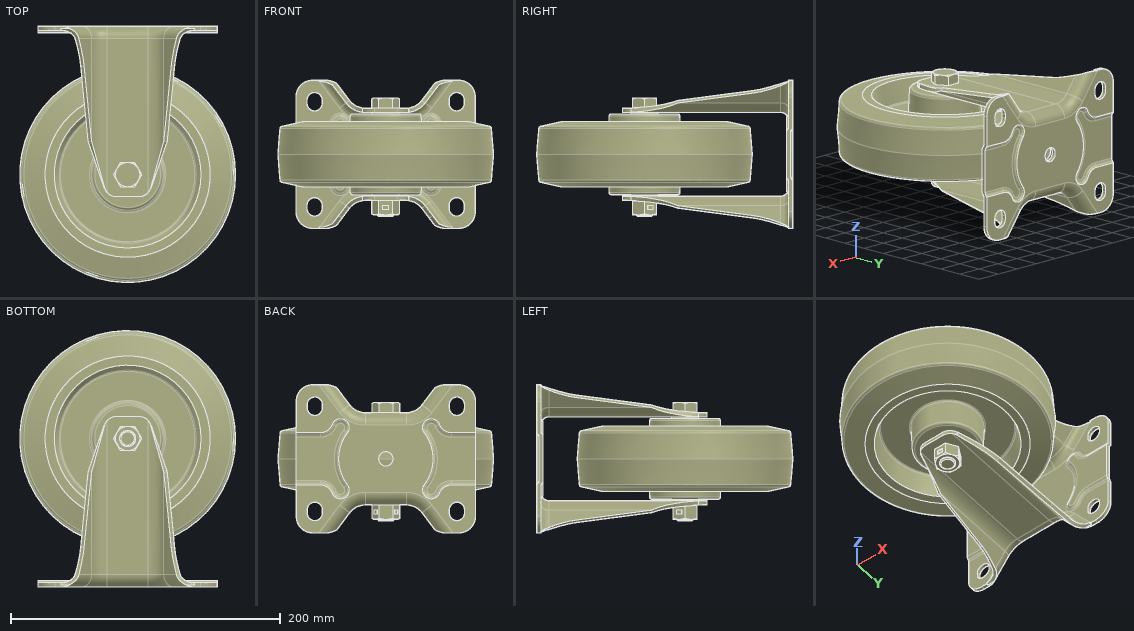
import cadquery as cq
import math


OVERALL_LENGTH = 190.0

WHEEL_RADIUS = 80.0
TREAD_EDGE_RADIUS = 78.3
SHOULDER_HEIGHT = 20.5
SHOULDER_FILLET = 1.9
RIM_RADIUS = 61.2
RIM_HALF_WIDTH = 24.3
RIM_MOUTH_RADIUS = 54.3
RIM_ROOT_RADIUS = 50.5
WEB_HALF_WIDTH = 6.6
HUB_ROOT_RADIUS = 27.4
HUB_END_RADIUS = 26.2
HUB_HALF_LENGTH = 30.0
HUB_FILLET = 1.9
WEB_FILLET = 1.0
SLEEVE_RADIUS = 10.0

BOLT_DIAMETER = 12.0
BOLT_END_CHAMFER = 1.0
HEX_FLATS = 18.0
HEX_BEVEL_ANGLE = 30.0
HEAD_HEIGHT = 7.6
NUT_HEIGHT = 10.6
BOLT_PROTRUSION = 1.3
CRIMP_WIDTH = 4.5
CRIMP_HEIGHT = 3.0
CRIMP_DEPTH = 0.4
CRIMP_OFFSET = 5.3

SHEET = 3.2
PLATE_WIDTH = 133.0
PLATE_HEIGHT = 110.0
PLATE_CORNER = 12.5
LEG_FACE = 34.2
LEG_FLAT = 15.2
FLANGE_BEND = 14.5
FLANGE_ANGLE = 53.0
PLATE_BEND = 9.3
TIP_DROP = 16.3
TIP_CORNER = 9.0
PLATE_BACK = OVERALL_LENGTH - WHEEL_RADIUS
PLATE_FRONT = PLATE_BACK - SHEET
LEG_INNER_FACE = LEG_FACE - SHEET

TAPER_END_Y = 24.7
FLARE_START_Y = 80.5
FLARE_START_Z = 47.3
FLARE_END_Y = PLATE_BACK - SHEET / 2
FLARE_SWEEP = 1.3
FLARE_TURN = 4

TRIM_ABOVE = 22.8
TRIM_BELOW = 11.4
TRIM_OUTWARDS = 57.0

SLOT_WIDTH = 11.0
SLOT_LENGTH = 13.5
SLOT_X = 52.6
SLOT_Z = 39.0
CENTER_HOLE = 10.6
EMBOSS_HEIGHT = 1.7
EMBOSS_OVERRUN = 8.5
EMBOSS_DRAFT = 50.0
EMBOSS_TOP_FILLET = 3.5
EMBOSS_FOOT_FILLET = 2.3
EMBOSS_BAND = 19.4
NECK_RADIUS = 9.5
EMBOSS_WAIST_X = 35.0
LOBE_X = 33.6
LOBE_Z = 23.2
LOBE_RADIUS = 6.5

FAR = 114.0
NEAR = 0.2


def polar(center, radius, degrees):
    angle = math.radians(degrees)
    return (center[0] + radius * math.cos(angle), center[1] + radius * math.sin(angle))


def circles_of_radius(body, radius):
    return body.edges("%CIRCLE").filter(lambda edge: abs(edge.radius() - radius) < NEAR)


def revolve_about_axle(points):
    """Revolve an outline of (radius, z) points about the axle."""
    return cq.Workplane("XZ").polyline(points).close().revolve(360, (0, 0, 0), (0, 1, 0))


def make_tyre():
    tyre = revolve_about_axle([
        (RIM_RADIUS, -RIM_HALF_WIDTH),
        (TREAD_EDGE_RADIUS, -SHOULDER_HEIGHT),
        (WHEEL_RADIUS, 0),
        (TREAD_EDGE_RADIUS, SHOULDER_HEIGHT),
        (RIM_RADIUS, RIM_HALF_WIDTH),
    ])
    return circles_of_radius(tyre, TREAD_EDGE_RADIUS).fillet(SHOULDER_FILLET)


def make_core():
    upper = [
        (RIM_RADIUS, RIM_HALF_WIDTH),
        (RIM_MOUTH_RADIUS, RIM_HALF_WIDTH),
        (RIM_ROOT_RADIUS, WEB_HALF_WIDTH),
        (HUB_ROOT_RADIUS, WEB_HALF_WIDTH),
        (HUB_END_RADIUS, HUB_HALF_LENGTH),
        (SLEEVE_RADIUS, HUB_HALF_LENGTH),
    ]
    lower = [(radius, -z) for radius, z in reversed(upper)]
    core = revolve_about_axle(upper + lower)
    core = circles_of_radius(core, HUB_END_RADIUS).fillet(HUB_FILLET)
    core = circles_of_radius(core, RIM_ROOT_RADIUS).fillet(WEB_FILLET)
    return circles_of_radius(core, HUB_ROOT_RADIUS).fillet(WEB_FILLET)


def make_sleeve():
    return (
        cq.Workplane("XY", origin=(0, 0, -LEG_INNER_FACE))
        .circle(SLEEVE_RADIUS)
        .circle(BOLT_DIAMETER / 2)
        .extrude(2 * LEG_INNER_FACE)
    )


def hexagon(height):
    """Hexagon standing on the XY plane, corners along X, with its upper corners turned to a cone."""
    corner_radius = HEX_FLATS / math.sqrt(3)
    bevel = corner_radius - HEX_FLATS / 2
    body = cq.Workplane("XY").polygon(6, 2 * corner_radius).extrude(height)
    turned = (
        cq.Workplane("XY")
        .circle(corner_radius)
        .extrude(height)
        .faces(">Z")
        .chamfer(bevel * math.tan(math.radians(HEX_BEVEL_ANGLE)), bevel)
    )
    return body.intersect(turned)


def make_bolt():
    end = -(LEG_FACE + NUT_HEIGHT + BOLT_PROTRUSION)
    shank = (
        cq.Workplane("XY", origin=(0, 0, end))
        .circle(BOLT_DIAMETER / 2)
        .extrude(LEG_FACE - end)
        .faces("<Z")
        .chamfer(BOLT_END_CHAMFER)
    )
    head = hexagon(HEAD_HEIGHT).translate((0, 0, LEG_FACE))
    return shank.union(head)


def make_nut():
    nut = hexagon(NUT_HEIGHT).mirror("XY").translate((0, 0, -LEG_FACE))
    nut = nut.cut(cq.Workplane("XY").circle(BOLT_DIAMETER / 2).extrude(-FAR))
    crimp = cq.Workplane("XY").box(CRIMP_WIDTH, 2 * CRIMP_DEPTH, CRIMP_HEIGHT)
    crimp = crimp.translate((0, -HEX_FLATS / 2, -LEG_FACE - CRIMP_OFFSET))
    for turn in (0, 120, 240):
        nut = nut.cut(crimp.rotate((0, 0, 0), (0, 0, 1), turn))
    return nut


def waisted_block(inset, reach, end_y, end_fillet):
    """Block whose upper and lower sides follow the leg section, moved inwards by inset.

    It runs from the leg tips to end_y, where the edges along both leg sides are rounded.
    """
    angle = math.radians(FLANGE_ANGLE)
    bend_center = (LEG_FLAT, LEG_FACE + FLANGE_BEND)
    radius = FLANGE_BEND + inset
    bend_middle = polar(bend_center, radius, FLANGE_ANGLE / 2 - 90)
    bend_end = polar(bend_center, radius, FLANGE_ANGLE - 90)
    flange_end = (bend_end[0] + FAR * math.cos(angle), bend_end[1] + FAR * math.sin(angle))
    face = LEG_FACE - inset
    outline = (
        cq.Workplane("XZ", origin=(0, end_y, 0))
        .moveTo(0, face)
        .lineTo(LEG_FLAT, face)
        .threePointArc(bend_middle, bend_end)
        .lineTo(*flange_end)
        .lineTo(reach, flange_end[1])
        .lineTo(reach, 0)
        .mirrorX()
        .mirrorY()
    )
    block = outline.extrude(end_y + TIP_DROP)
    walls = cq.selectors.BoxSelector(
        (-flange_end[0], end_y - NEAR, -flange_end[1] + NEAR),
        (flange_end[0], end_y + NEAR, flange_end[1] - NEAR),
    )
    return block.edges(walls).fillet(end_fillet)


def edge_station(y):
    """Point (x, z) on the outer face and direction across the sheet of the flange edge at y."""
    bend_center = (LEG_FLAT, LEG_FACE + FLANGE_BEND)
    taper_end = polar(bend_center, FLANGE_BEND, FLANGE_ANGLE - 90)
    if y <= TAPER_END_Y:
        x = LEG_FLAT + (taper_end[0] - LEG_FLAT) * (y + TIP_DROP) / (TAPER_END_Y + TIP_DROP)
        slope = math.asin((x - LEG_FLAT) / FLANGE_BEND)
        z = LEG_FACE + FLANGE_BEND * (1 - math.cos(slope))
        return (x, z), (math.sin(slope), -math.cos(slope))
    if y <= FLARE_START_Y:
        along = (y - TAPER_END_Y) / (FLARE_START_Y - TAPER_END_Y)
        z = taper_end[1] + (FLARE_START_Z - taper_end[1]) * along
        turn = FLANGE_ANGLE - 90
    else:
        along = (y - FLARE_START_Y) / (FLARE_END_Y - FLARE_START_Y)
        z = FLARE_START_Z + (PLATE_HEIGHT / 2 - FLARE_START_Z) * along ** FLARE_SWEEP
        turn = (FLANGE_ANGLE - 90) * (1 - along ** FLARE_TURN)
    x = taper_end[0] + (z - taper_end[1]) / math.tan(math.radians(FLANGE_ANGLE))
    return (x, z), polar((0, 0), 1, turn)


def flange_trimmer(start_y, end_y, steps):
    """Waste beyond the free edge of the +X, +Z flange, lofted through steps + 1 stations of that edge."""
    wires = []
    for i in range(steps + 1):
        y = start_y + (end_y - start_y) * i / steps
        (x, z), (across_x, across_z) = edge_station(y)
        top = (x - TRIM_ABOVE * across_x, z - TRIM_ABOVE * across_z)
        bottom = (x + TRIM_BELOW * across_x, z + TRIM_BELOW * across_z)
        step = (-TRIM_OUTWARDS * across_z, TRIM_OUTWARDS * across_x)
        far_bottom = (bottom[0] + step[0], bottom[1] + step[1])
        far_top = (top[0] + step[0], top[1] + step[1])
        corners = [top, bottom, far_bottom, far_top]
        wires.append(cq.Wire.makePolygon([cq.Vector(px, y, pz) for px, pz in corners], close=True))
    is_ruled = steps == 1
    return cq.Workplane(cq.Solid.makeLoft(wires, is_ruled))


def tip_corner_trimmer():
    """Waste outside the rounded +X corner of the leg tips."""
    (side_x, _), _ = edge_station(TAPER_END_Y)
    side_angle = math.degrees(math.atan2(TAPER_END_Y + TIP_DROP, side_x - LEG_FLAT))
    corner = (LEG_FLAT, -TIP_DROP)
    tangent = TIP_CORNER / math.tan(math.radians((180 - side_angle) / 2))
    bottom = (corner[0] - tangent, corner[1])
    side = polar(corner, tangent, side_angle)
    center = (bottom[0], bottom[1] + TIP_CORNER)
    middle = polar(center, TIP_CORNER, -90 + side_angle / 2)
    margin = 1.9
    return (
        cq.Workplane("XY", origin=(0, 0, -FAR / 2))
        .moveTo(*bottom)
        .threePointArc(middle, side)
        .lineTo(side[0] + margin, side[1])
        .lineTo(side[0] + margin, corner[1] - margin)
        .lineTo(bottom[0], corner[1] - margin)
        .close()
        .extrude(FAR)
    )


def emboss(base_y):
    """Raised field on the -X half of the plate, rising towards -Y from base_y.

    A band leaves over the side edge; two lobes and the neck and waist arcs between them are all tangent.
    """
    lobe = (-LOBE_X, LOBE_Z)
    neck_z = EMBOSS_BAND + NECK_RADIUS
    neck_x = -LOBE_X - math.sqrt((NECK_RADIUS + LOBE_RADIUS) ** 2 - (neck_z - LOBE_Z) ** 2)
    neck_angle = math.degrees(math.atan2(neck_z - LOBE_Z, neck_x + LOBE_X))

    waist_step = EMBOSS_WAIST_X - LOBE_X
    waist_radius = (LOBE_Z ** 2 + waist_step ** 2 - LOBE_RADIUS ** 2) / (2 * (LOBE_RADIUS + waist_step))
    waist_angle = math.degrees(math.atan2(-LOBE_Z, waist_radius - waist_step))

    band_end = -PLATE_WIDTH / 2 - EMBOSS_OVERRUN
    band_start = (neck_x, EMBOSS_BAND)
    neck_middle = polar((neck_x, neck_z), NECK_RADIUS, (neck_angle - 180 - 90) / 2)
    lobe_start = polar(lobe, LOBE_RADIUS, neck_angle)
    lobe_middle = polar(lobe, LOBE_RADIUS, (neck_angle + waist_angle) / 2)
    lobe_end = polar(lobe, LOBE_RADIUS, waist_angle)

    def below(point):
        return (point[0], -point[1])

    return (
        cq.Workplane("XZ", origin=(0, base_y, 0))
        .moveTo(band_end, EMBOSS_BAND)
        .lineTo(*band_start)
        .threePointArc(neck_middle, lobe_start)
        .threePointArc(lobe_middle, lobe_end)
        .threePointArc((-EMBOSS_WAIST_X, 0), below(lobe_end))
        .threePointArc(below(lobe_middle), below(lobe_start))
        .threePointArc(below(neck_middle), below(band_start))
        .lineTo(band_end, -EMBOSS_BAND)
        .close()
        .extrude(EMBOSS_HEIGHT, taper=EMBOSS_DRAFT)
        .faces("<Y")
        .edges()
        .fillet(EMBOSS_TOP_FILLET)
    )


def plate_outline():
    """Everything straight in front of the rounded plate rectangle."""
    return (
        cq.Workplane("XZ", origin=(0, PLATE_BACK, 0))
        .rect(PLATE_WIDTH, PLATE_HEIGHT)
        .extrude(PLATE_BACK + TIP_DROP)
        .edges("|Y")
        .fillet(PLATE_CORNER)
    )


def make_fork():
    outside = waisted_block(0, PLATE_WIDTH, PLATE_BACK, PLATE_BEND)
    inside = waisted_block(SHEET, PLATE_WIDTH + SHEET, PLATE_FRONT, PLATE_BEND - SHEET)
    fork = outside.cut(inside)

    field = emboss(PLATE_FRONT)
    recess = emboss(PLATE_BACK)
    fork = fork.union(field).union(field.mirror("YZ"))
    fork = fork.cut(recess).cut(recess.mirror("YZ"))
    for side in (-1, 1):
        field_sides = cq.selectors.BoxSelector(
            (side * (LOBE_X - LOBE_RADIUS), PLATE_FRONT - NEAR, -LOBE_Z - LOBE_RADIUS),
            (side * PLATE_WIDTH, PLATE_FRONT + NEAR, LOBE_Z + LOBE_RADIUS),
        )
        fork = fork.edges(field_sides).fillet(EMBOSS_FOOT_FILLET)
    fork = fork.intersect(plate_outline())

    trimmers = [
        flange_trimmer(-TIP_DROP, TAPER_END_Y, steps=6),
        flange_trimmer(TAPER_END_Y, FLARE_START_Y, steps=1),
        flange_trimmer(FLARE_START_Y, FLARE_END_Y, steps=5),
        tip_corner_trimmer(),
    ]
    for waste in trimmers:
        for half in (waste, waste.mirror("XY")):
            fork = fork.cut(half).cut(half.mirror("YZ"))

    slots = (
        cq.Workplane("XZ", origin=(0, PLATE_BACK, 0))
        .rect(2 * SLOT_X, 2 * SLOT_Z, forConstruction=True)
        .vertices()
        .slot2D(SLOT_LENGTH, SLOT_WIDTH, 90)
        .extrude(SHEET)
    )
    center_hole = cq.Workplane("XZ", origin=(0, PLATE_BACK, 0)).circle(CENTER_HOLE / 2).extrude(SHEET)
    axle_holes = cq.Workplane("XY").circle(BOLT_DIAMETER / 2).extrude(LEG_FACE, both=True)
    return fork.cut(slots).cut(center_hole).cut(axle_holes)


fork = make_fork()
tyre = make_tyre()
core = make_core()
sleeve = make_sleeve()
bolt = make_bolt()
nut = make_nut()

result = cq.Compound.makeCompound([
    fork.solids().val(),
    tyre.solids().val(),
    core.solids().val(),
    sleeve.solids().val(),
    bolt.solids().val(),
    nut.solids().val(),
])